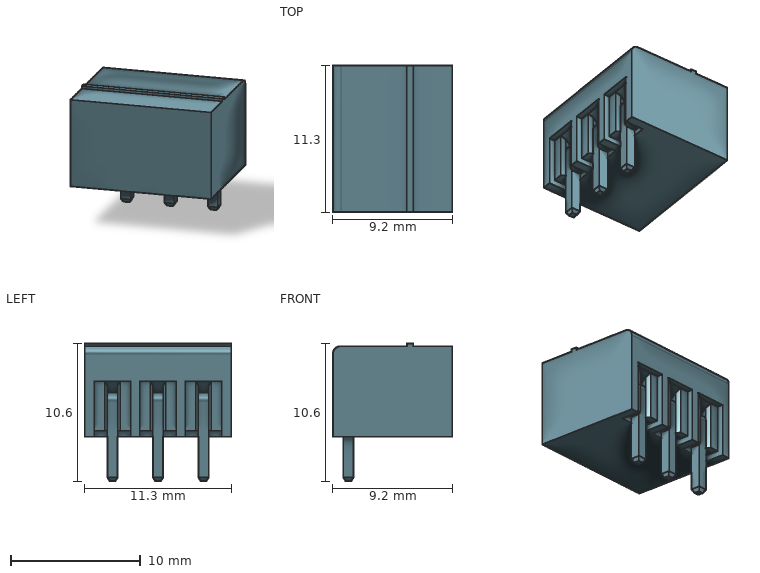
import cadquery as cq


HOUSING_DEPTH = 9.2
HOUSING_WIDTH = 11.3
HOUSING_HEIGHT = 7.0
TOP_EDGE_RADIUS = 0.6

RIB_HEIGHT = 0.2
RIB_THICKNESS = 0.5
RIB_X = 5.71

PIN_COUNT = 3
PIN_PITCH = 3.5
PIN_SIZE = 0.8
PIN_BEND_RADIUS = 0.6
LEG_FRONT_X = 0.8
LEG_BACK_X = LEG_FRONT_X + PIN_SIZE
LEG_LENGTH_BELOW = 3.4
ARM_TOP_Z = 3.4
ARM_BOTTOM_Z = ARM_TOP_Z - PIN_SIZE
ARM_END_X = HOUSING_DEPTH / 2
TIP_LENGTH = 0.3
TIP_SIZE = 0.45

SLOT_WIDTH = 2.8
SLOT_DEPTH = 0.5
SLOT_HEIGHT = 4.3
UNDERCUT_HEIGHT = 0.5
FUNNEL_WIDTH = 1.2
FUNNEL_RUN = 0.34
CEILING_END_X = SLOT_DEPTH + SLOT_HEIGHT - ARM_TOP_Z

PIN_CENTRES = [(i - (PIN_COUNT - 1) / 2) * PIN_PITCH for i in range(PIN_COUNT)]


def block(x_start, x_end, width, z_start, z_end):
    """Box centred on Y = 0 between the given X and Z limits."""
    return (
        cq.Workplane("XY")
        .box(x_end - x_start, width, z_end - z_start, centered=(False, True, False))
        .translate((x_start, 0, z_start))
    )


def make_channel():
    """Leg channel: its side walls taper in to the pin width and its ceiling slopes down to the arm."""
    plan = (
        cq.Workplane("XY")
        .moveTo(SLOT_DEPTH, FUNNEL_WIDTH / 2)
        .lineTo(SLOT_DEPTH + FUNNEL_RUN, PIN_SIZE / 2)
        .lineTo(LEG_BACK_X, PIN_SIZE / 2)
        .lineTo(LEG_BACK_X, -PIN_SIZE / 2)
        .lineTo(SLOT_DEPTH + FUNNEL_RUN, -PIN_SIZE / 2)
        .lineTo(SLOT_DEPTH, -FUNNEL_WIDTH / 2)
        .close()
        .extrude(SLOT_HEIGHT)
    )
    side = (
        cq.Workplane("XZ")
        .moveTo(SLOT_DEPTH, 0)
        .lineTo(SLOT_DEPTH, SLOT_HEIGHT)
        .lineTo(CEILING_END_X, ARM_TOP_Z)
        .lineTo(LEG_BACK_X, ARM_TOP_Z)
        .lineTo(LEG_BACK_X, 0)
        .close()
        .extrude(FUNNEL_WIDTH / 2, both=True)
    )
    return plan.intersect(side)


def make_pin_opening():
    """Everything removed from the housing for one pin centred on Y = 0."""
    slot = block(0, SLOT_DEPTH, SLOT_WIDTH, 0, SLOT_HEIGHT)
    undercut = block(0, LEG_BACK_X, SLOT_WIDTH, 0, UNDERCUT_HEIGHT)
    arm_hole = block(LEG_FRONT_X + PIN_BEND_RADIUS, ARM_END_X, PIN_SIZE, ARM_BOTTOM_Z, ARM_TOP_Z)
    return slot.union(undercut).union(make_channel()).union(arm_hole)


def make_housing():
    body = block(0, HOUSING_DEPTH, HOUSING_WIDTH, 0, HOUSING_HEIGHT)
    body = body.edges("<X and >Z").fillet(TOP_EDGE_RADIUS)
    rib = block(RIB_X, RIB_X + RIB_THICKNESS, HOUSING_WIDTH, HOUSING_HEIGHT, HOUSING_HEIGHT + RIB_HEIGHT)
    body = body.union(rib)
    opening = make_pin_opening()
    for y in PIN_CENTRES:
        body = body.cut(opening.translate((0, y, 0)))
    return body.solids()


def make_pin(y):
    """Bent square pin: a leg pointing down with a tapered tip, and an arm pointing along +X."""
    tip_start_z = TIP_LENGTH - LEG_LENGTH_BELOW
    bar = (
        cq.Workplane("XZ")
        .moveTo(LEG_FRONT_X, tip_start_z)
        .lineTo(LEG_FRONT_X, ARM_TOP_Z - PIN_BEND_RADIUS)
        .radiusArc((LEG_FRONT_X + PIN_BEND_RADIUS, ARM_TOP_Z), PIN_BEND_RADIUS)
        .lineTo(ARM_END_X, ARM_TOP_Z)
        .lineTo(ARM_END_X, ARM_BOTTOM_Z)
        .lineTo(LEG_BACK_X, ARM_BOTTOM_Z)
        .lineTo(LEG_BACK_X, tip_start_z)
        .close()
        .extrude(PIN_SIZE / 2, both=True)
    )
    tip = (
        cq.Workplane("XY", origin=(LEG_FRONT_X + PIN_SIZE / 2, 0, -LEG_LENGTH_BELOW))
        .rect(TIP_SIZE, TIP_SIZE)
        .workplane(offset=TIP_LENGTH)
        .rect(PIN_SIZE, PIN_SIZE)
        .loft(ruled=True)
    )
    return bar.union(tip).solids().translate((0, y, 0))


housing = make_housing()
pins = [make_pin(y) for y in PIN_CENTRES]

result = cq.Compound.makeCompound([housing.val(), *[pin.val() for pin in pins]])